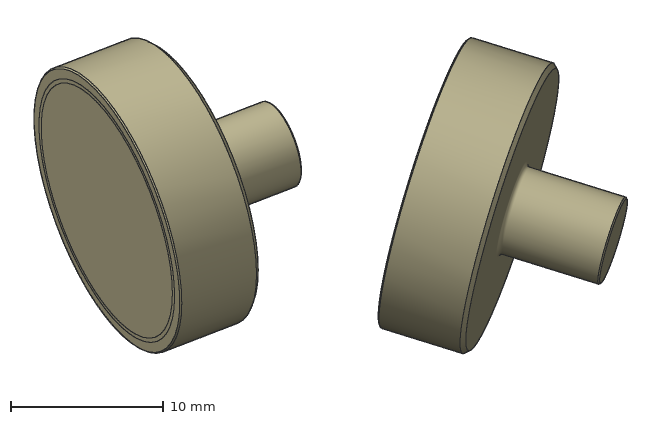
import cadquery as cq

pot_diameter = 20.0
pot_height = 6.0
stem_diameter = 6.0
total_height = 13.0
recess_diameter = 18.4
recess_depth = 4.5
magnet_diameter = 17.8

back_chamfer = 0.3
front_chamfer = 0.1
stem_chamfer = 0.1
stem_fillet = 0.3

front_y = -total_height / 2
stem_base_y = front_y + pot_height


def disc(diameter, start_y, length):
    """Solid cylinder that runs toward +Y from start_y."""
    plane = cq.Plane(origin=(0, start_y, 0), xDir=(1, 0, 0), normal=(0, 1, 0))
    return cq.Workplane(plane).circle(diameter / 2).extrude(length)


def make_housing():
    """Round pot with a stem on its back and a blind recess in its front."""
    pot = disc(pot_diameter, front_y, pot_height)
    pot = pot.faces(">Y").edges().chamfer(back_chamfer)
    pot = pot.faces("<Y").edges().chamfer(front_chamfer)

    stem = disc(stem_diameter, stem_base_y, total_height - pot_height)
    stem = stem.faces(">Y").edges().chamfer(stem_chamfer)

    housing = pot.union(stem)
    stem_root = cq.selectors.NearestToPointSelector((0, stem_base_y, 0))
    housing = housing.edges(stem_root).fillet(stem_fillet)

    return housing.cut(disc(recess_diameter, front_y, recess_depth))


def make_magnet():
    """Magnet disc seated on the recess floor, flush with the pot's front."""
    return disc(magnet_diameter, front_y, recess_depth)


def make_spacer_ring():
    """Thin sleeve that fills the gap between the magnet and the recess wall."""
    sleeve = disc(recess_diameter, front_y, recess_depth)
    return sleeve.cut(disc(magnet_diameter, front_y, recess_depth))


housing = make_housing()
magnet = make_magnet()
spacer_ring = make_spacer_ring()

bodies = [body.solids().val() for body in (housing, magnet, spacer_ring)]
result = cq.Compound.makeCompound(bodies)